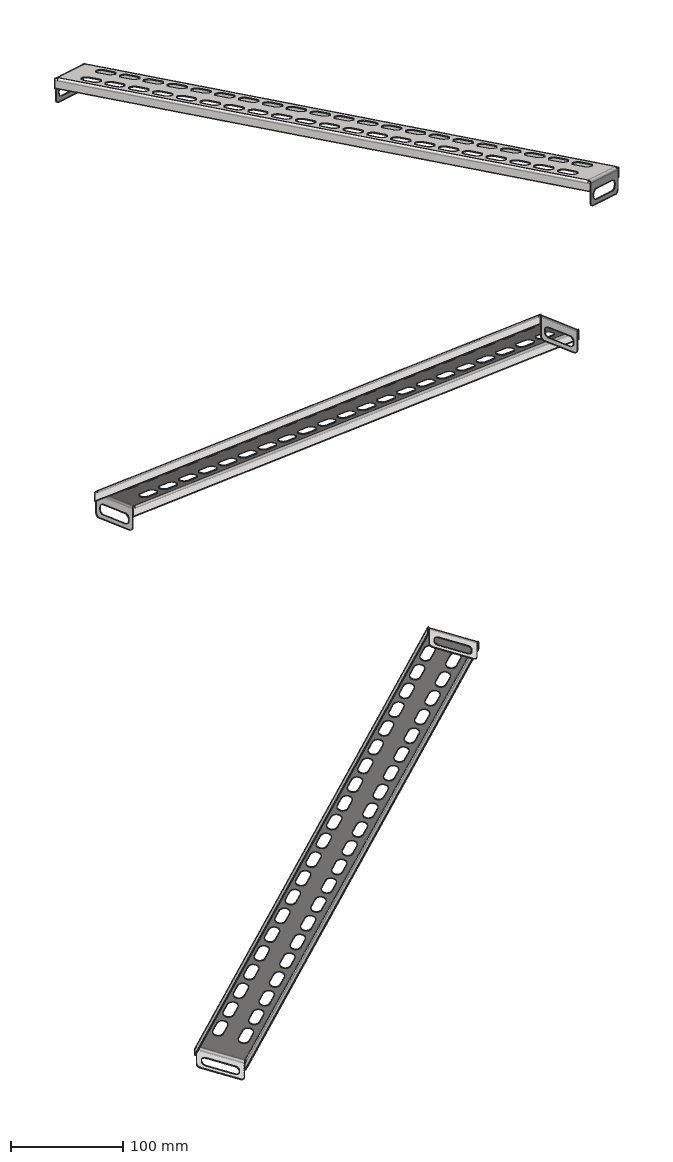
import cadquery as cq

length = 562.0
width = 49.5
height = 25.0
sheet = 1.0
bend_radius = 2.7
flange_height = 10.0

tab_width = 46.0
tab_corner_radius = 4.0
window_length = 36.5
window_height = 10.0
window_corner_radius = 4.5
window_depth = 15.0

slot_count = 21
slot_row_length = 500.0
slot_pitch = slot_row_length / (slot_count - 1)
row_spacing = 25.0
slot_length = 19.5
slot_width = 10.0


def folded_channel(x_size, y_size, wall_height, fold_edges):
    """Channel open below, folded along the top edges parallel to one axis."""
    along_x = fold_edges == "|X"
    inner_x = x_size if along_x else x_size - 2 * sheet
    inner_y = y_size - 2 * sheet if along_x else y_size
    base = cq.Workplane("XY").workplane(offset=height - wall_height)
    outer = base.box(x_size, y_size, wall_height, centered=(True, True, False))
    inner = base.box(inner_x, inner_y, wall_height - sheet, centered=(True, True, False))
    outer = outer.faces(">Z").edges(fold_edges).fillet(bend_radius)
    inner = inner.faces(">Z").edges(fold_edges).fillet(bend_radius - sheet)
    return outer.cut(inner)


def flange_channel():
    """Top plate with both side flanges; the plate stops where the end folds begin."""
    channel = folded_channel(length, width, flange_height, "|X")
    fold_start = length / 2 - bend_radius
    for side in (-1, 1):
        notch = cq.Workplane("XY").box(bend_radius, width - 2 * sheet, 2 * height)
        channel = channel.cut(notch.translate((side * (fold_start + bend_radius / 2), 0, 0)))
    return channel


def tab_channel():
    """Strip of the top plate with a rounded tab folded down at each end."""
    channel = folded_channel(length, tab_width, height, "|Y")
    return channel.edges("|X and <Z").fillet(tab_corner_radius)


def top_slots():
    """Two rows of round-ended slots through the top plate."""
    return (
        cq.Workplane("XY")
        .workplane(offset=height - flange_height)
        .rarray(slot_pitch, row_spacing, slot_count, 2)
        .slot2D(slot_length, slot_width)
        .extrude(flange_height)
    )


def tab_windows():
    """One rounded bar that opens the window in both end tabs."""
    return (
        cq.Workplane("XY")
        .box(length, window_length, window_height)
        .edges("|X")
        .fillet(window_corner_radius)
        .translate((0, 0, height - window_depth))
    )


result = flange_channel().union(tab_channel()).cut(top_slots()).cut(tab_windows())